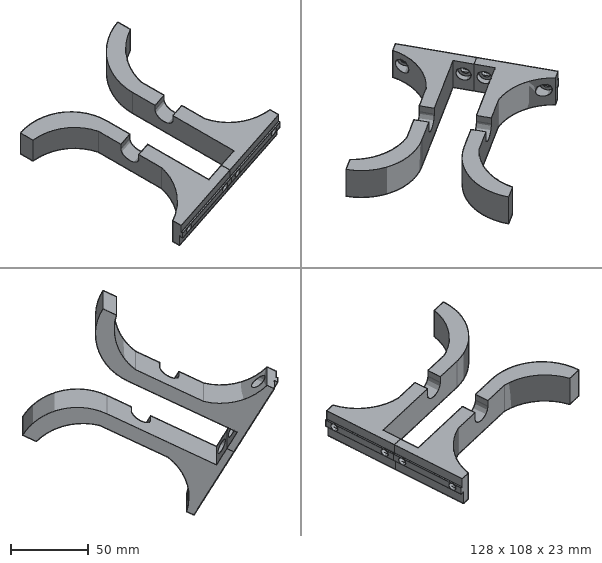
import cadquery as cq

length = 128.0
half_width = 54.0
height = 23.0

wall = 10.0
inner_face_y = 14.0
curve_radius = half_width - inner_face_y
outer_face_y = inner_face_y + wall
web_end_x = 90.0

plate_front_x = 120.0
upper_back_x = 126.8
lower_back_x = 125.5
tongue_bottom_z = 10.2
tongue_height = 5.5
tongue_top_z = tongue_bottom_z + tongue_height

notch_x = 64.9
notch_width = 14.0
notch_depth = 12.0

hole_z = tongue_bottom_z + tongue_height / 2
hole_diameter = 5.5
counterbore_diameter = 10.0
hole_edge_distance = inner_face_y / 2
hole_ys = (hole_edge_distance, half_width - hole_edge_distance)
counterbore_floor_x = 124.2


def bracket_blank():
    """Curved arm and plate, before the back is stepped."""
    return (
        cq.Workplane("XY")
        .moveTo(length, 0)
        .lineTo(length, half_width)
        .lineTo(plate_front_x, half_width)
        .radiusArc((web_end_x, outer_face_y), curve_radius)
        .lineTo(curve_radius, outer_face_y)
        .radiusArc((wall, half_width), curve_radius)
        .lineTo(0, half_width)
        .radiusArc((curve_radius, inner_face_y), -curve_radius)
        .lineTo(plate_front_x, inner_face_y)
        .lineTo(plate_front_x, 0)
        .close()
        .extrude(height)
    )


def back_step(back_x, bottom_z, top_z):
    """Material removed behind back_x between two heights."""
    return cq.Workplane("XY").box(
        length - back_x, half_width, top_z - bottom_z, centered=False
    ).translate((back_x, 0, bottom_z))


def notch():
    """Round-bottomed cutter, open at the top of the arm."""
    radius = notch_width / 2
    round_center_z = height - notch_depth + radius
    return (
        cq.Workplane("XZ")
        .moveTo(notch_x - radius, height)
        .lineTo(notch_x - radius, round_center_z)
        .threePointArc((notch_x, height - notch_depth), (notch_x + radius, round_center_z))
        .lineTo(notch_x + radius, height)
        .close()
        .extrude(-half_width)
    )


def screw_hole(y):
    """Through hole with a counterbore entering from the arm side."""
    start_x = web_end_x
    profile_plane = cq.Workplane("YZ", origin=(start_x, y, hole_z))
    bore = profile_plane.circle(hole_diameter / 2).extrude(length - start_x)
    counterbore = profile_plane.circle(counterbore_diameter / 2).extrude(counterbore_floor_x - start_x)
    return bore.union(counterbore)


def make_bracket():
    bracket = bracket_blank()
    bracket = bracket.cut(back_step(lower_back_x, 0, tongue_bottom_z))
    bracket = bracket.cut(back_step(upper_back_x, tongue_top_z, height))
    bracket = bracket.cut(notch())
    for y in hole_ys:
        bracket = bracket.cut(screw_hole(y))
    return bracket


left_bracket = make_bracket()
right_bracket = left_bracket.mirror("XZ")

result = cq.Compound.makeCompound([left_bracket.val(), right_bracket.val()])